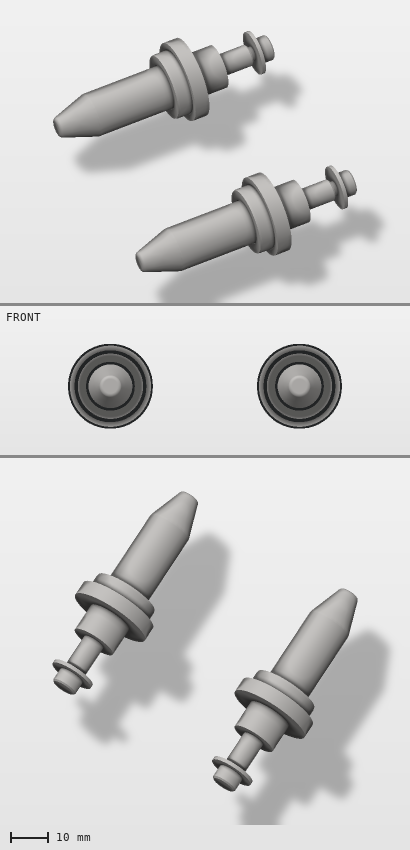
import cadquery as cq

pin_pitch = 50.0
pin_side_signs = (-1, 1)

flange_diameter = 22.0
flange_thickness = 4.0
collar_diameter = 18.0
collar_length = 4.0
collar_lead_in_length = 0.5
collar_lead_in_depth = 0.15
root_relief_reach = 0.3
bore_chamfer_depth = 0.2
bore_chamfer_length = 0.5

pin_diameter = 12.0
nose_y = -35.5
nose_cone_length = 10.0
nose_diameter = 5.3
nose_tip_fillet = 1.0
nose_base_fillet = 1.5
shoulder_y = 12.0
stem_diameter = 6.0
stem_length = 9.0
stem_chamfer = 0.5

screw_diameter = 4.0
screw_engagement = 8.0
head_diameter = 7.0
head_chamfer = 0.4
head_height = 3.95
washer_diameter = 12.0
washer_thickness = 1.0
washer_gap = 1.0

stem_end_y = shoulder_y + stem_length
hole_bottom_y = stem_end_y - screw_engagement
washer_y = stem_end_y + washer_gap
head_y = washer_y + washer_thickness


def cylinder(diameter, start_y, length):
    """Solid cylinder running from start_y towards +Y."""
    return cq.Workplane("XZ", origin=(0, start_y, 0)).circle(diameter / 2).extrude(-length)


def turn(outline):
    """Solid of revolution of a closed half outline about the Y axis."""
    return outline.close().revolve(360, (0, 0, 0), (0, 1, 0))


def make_bushing():
    """Flange and collar with a V relief at the collar root and a chamfered bore for the pin."""
    collar_radius = collar_diameter / 2
    bore_radius = pin_diameter / 2
    relief_depth = root_relief_reach / 2
    outline = (
        cq.Workplane("XY")
        .moveTo(bore_radius + bore_chamfer_depth, -collar_length)
        .lineTo(collar_radius - collar_lead_in_depth, -collar_length)
        .lineTo(collar_radius, -collar_length + collar_lead_in_length)
        .lineTo(collar_radius, -root_relief_reach)
        .lineTo(collar_radius - relief_depth, relief_depth)
        .lineTo(collar_radius + root_relief_reach, 0)
        .lineTo(flange_diameter / 2, 0)
        .lineTo(flange_diameter / 2, flange_thickness)
        .lineTo(bore_radius, flange_thickness)
        .lineTo(bore_radius, -collar_length + bore_chamfer_length)
    )
    return turn(outline)


def make_pin():
    """Pin with a rounded conical nose and a thinner stem that takes the screw."""
    cone_base_y = nose_y + nose_cone_length
    outline = (
        cq.Workplane("XY")
        .moveTo(0, nose_y)
        .lineTo(nose_diameter / 2, nose_y)
        .lineTo(pin_diameter / 2, cone_base_y)
        .lineTo(pin_diameter / 2, shoulder_y)
        .lineTo(0, shoulder_y)
    )
    body = turn(outline).faces("<Y").edges().fillet(nose_tip_fillet)
    body = body.edges(cq.NearestToPointSelector((0, cone_base_y, 0))).fillet(nose_base_fillet)
    stem = cylinder(stem_diameter, shoulder_y, stem_length).faces(">Y").chamfer(stem_chamfer)
    screw_hole = cylinder(screw_diameter, hole_bottom_y, screw_engagement)
    return body.union(stem).cut(screw_hole)


def make_washer():
    """Flat washer that fits the screw shank."""
    hole = cylinder(screw_diameter, washer_y, washer_thickness)
    return cylinder(washer_diameter, washer_y, washer_thickness).cut(hole)


def make_screw():
    """Screw with a chamfered round head; its shank fills the hole in the stem."""
    head = cylinder(head_diameter, head_y, head_height).faces(">Y").chamfer(head_chamfer)
    shank = cylinder(screw_diameter, hole_bottom_y, head_y - hole_bottom_y)
    return head.union(shank)


body_makers = (make_bushing, make_pin, make_washer, make_screw)
bodies = []
for side in pin_side_signs:
    for make_body in body_makers:
        placed_body = make_body().translate((side * pin_pitch / 2, 0, 0))
        bodies.append(placed_body.val())

result = cq.Compound.makeCompound(bodies)